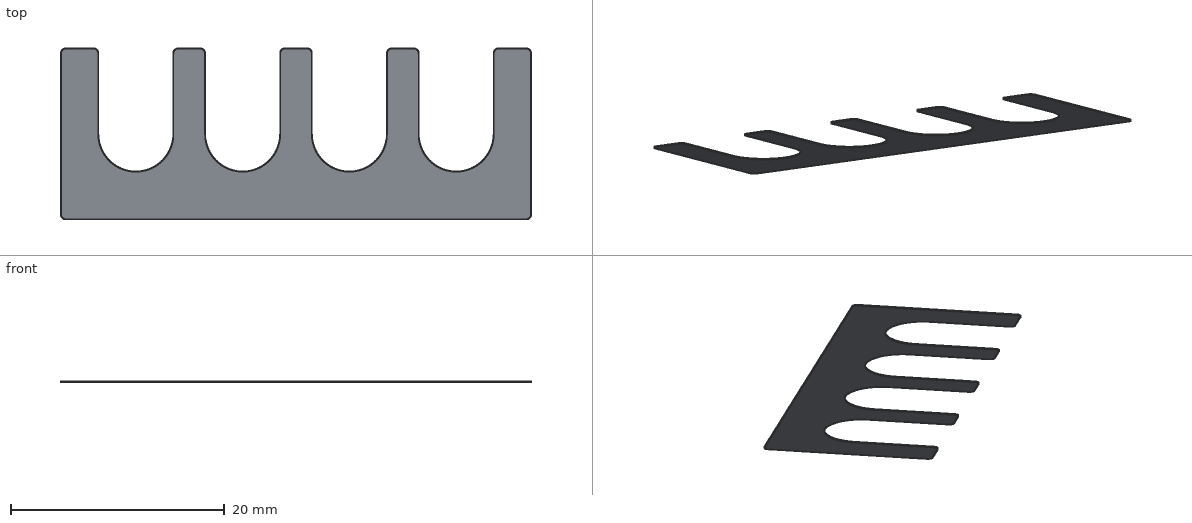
import cadquery as cq

length = 44.0
depth = 16.0
thickness = 0.1
corner_radius = 0.5

slot_count = 4
slot_width = 7.0
slot_pitch = 10.0
spine_width = 4.5

slot_radius = slot_width / 2
slot_center_y = spine_width + slot_radius
first_slot_x = -slot_pitch * (slot_count - 1) / 2


def make_plate():
    """Rectangular blank with its back edge on Y = 0."""
    return cq.Workplane("XY").box(length, depth, thickness, centered=(True, False, False))


def make_slot(center_x):
    """Cutter with a semicircular bottom, running out through the +Y edge."""
    return (
        cq.Workplane("XY")
        .moveTo(center_x - slot_radius, depth)
        .lineTo(center_x - slot_radius, slot_center_y)
        .threePointArc((center_x, spine_width), (center_x + slot_radius, slot_center_y))
        .lineTo(center_x + slot_radius, depth)
        .close()
        .extrude(thickness)
    )


comb = make_plate()
for index in range(slot_count):
    comb = comb.cut(make_slot(first_slot_x + index * slot_pitch))

back_corners = comb.faces("<Y").edges("|Z")
finger_tips = comb.faces(">Y").edges("|Z")
result = comb.newObject(back_corners.vals() + finger_tips.vals()).fillet(corner_radius)